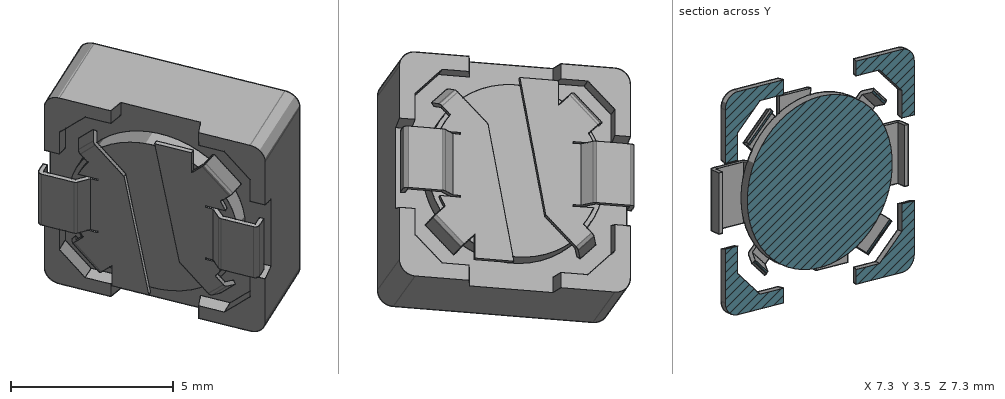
import cadquery as cq
import math


case_side = 7.3
case_depth = 2.9
corner_radius = 0.5
wall = 0.5
pocket_depth = 0.5
pocket_half = case_side / 2 - wall
pocket_chamfer = 0.855
notch_mouth_half = 1.45
notch_floor_half = 1.315

core_radius = 2.8
core_top = 3.0

sheet = 0.145
plate_top = core_top + sheet
overall_depth = 3.5

arm_end_z = 3.0
arm_inner_x = 0.095
arm_outer_x = 1.32
heel_x = 0.91
plate_radius = 2.65

tab_bend_radius = 2.99
tab_tip_radius = 3.32
tab_bend_angle = math.radians(60)
wide_tab_half = 0.635
narrow_tab_half = 0.35
wide_tab_direction = 45
narrow_tab_direction = -45

lead_half = 1.0
slit_width = 0.05
slit_root_x = 1.78
lead_bend_x = 2.02
lead_bend_angle = math.radians(45)
lead_tip_x = case_side / 2


def front_plane(depth):
    """Plane facing -Y at a depth, with local x along X and local y along Z."""
    return cq.Workplane("XZ", origin=(0, -depth, 0))


def radial_plane(direction):
    """Plane through the Y axis: local x points outward at an angle in degrees, local y is depth."""
    c = math.cos(math.radians(direction))
    s = math.sin(math.radians(direction))
    return cq.Workplane(cq.Plane(origin=(0, 0, 0), xDir=(c, 0, s), normal=(s, 0, -c)))


def around(centre, radius, angle):
    """Point at a radius and angle from a centre."""
    return (centre[0] + radius * math.cos(angle), centre[1] + radius * math.sin(angle))


def make_case():
    floor_depth = case_depth - pocket_depth
    body = front_plane(0).rect(case_side, case_side).extrude(case_depth)
    body = body.edges("|Y").fillet(corner_radius)

    pocket = front_plane(floor_depth).rect(2 * pocket_half, 2 * pocket_half).extrude(pocket_depth)
    pocket = pocket.edges("|Y").chamfer(pocket_chamfer)
    body = body.cut(pocket)

    for direction in (0, 90):
        notch = (
            cq.Workplane("XY")
            .polyline([
                (-notch_floor_half, -floor_depth),
                (notch_floor_half, -floor_depth),
                (notch_mouth_half, -case_depth),
                (-notch_mouth_half, -case_depth),
            ])
            .close()
            .extrude(case_side / 2, both=True)
            .rotate((0, 0, 0), (0, 1, 0), direction)
        )
        body = body.cut(notch)

    core = front_plane(floor_depth).circle(core_radius).extrude(core_top - floor_depth)
    return body.union(core)


def diagonal_point(along, across, direction):
    """X-Z point at a distance along a diagonal and a distance across it, to its left."""
    a = math.radians(direction)
    return (
        along * math.cos(a) - across * math.sin(a),
        along * math.sin(a) + across * math.cos(a),
    )


def make_plate():
    slit_z = lead_half + slit_width
    slit_angle = math.asin(slit_z / plate_radius)
    slit_mouth_x = plate_radius * math.cos(slit_angle)

    wide_along = math.sqrt(plate_radius**2 - wide_tab_half**2)
    upper_rim_angle = math.radians(wide_tab_direction) - math.asin(wide_tab_half / plate_radius)
    upper_rim_mid = around((0, 0), plate_radius, (upper_rim_angle + slit_angle) / 2)

    narrow_along = math.sqrt(plate_radius**2 - narrow_tab_half**2)
    lower_rim_angle = math.radians(narrow_tab_direction) + math.asin(narrow_tab_half / plate_radius)
    lower_rim_mid = around((0, 0), plate_radius, (lower_rim_angle - slit_angle) / 2)

    arm_root = (arm_outer_x, arm_outer_x + wide_tab_half * math.sqrt(2))
    heel = (heel_x, -heel_x - narrow_tab_half * math.sqrt(2))

    return (
        front_plane(core_top)
        .moveTo(arm_inner_x, arm_end_z)
        .lineTo(arm_outer_x, arm_end_z)
        .lineTo(*arm_root)
        .lineTo(*diagonal_point(tab_bend_radius, wide_tab_half, wide_tab_direction))
        .lineTo(*diagonal_point(tab_bend_radius, -wide_tab_half, wide_tab_direction))
        .lineTo(*diagonal_point(wide_along, -wide_tab_half, wide_tab_direction))
        .threePointArc(upper_rim_mid, (slit_mouth_x, slit_z))
        .lineTo(slit_root_x, slit_z)
        .lineTo(slit_root_x, lead_half)
        .lineTo(lead_bend_x, lead_half)
        .lineTo(lead_bend_x, -lead_half)
        .lineTo(slit_root_x, -lead_half)
        .lineTo(slit_root_x, -slit_z)
        .lineTo(slit_mouth_x, -slit_z)
        .threePointArc(lower_rim_mid, diagonal_point(narrow_along, narrow_tab_half, narrow_tab_direction))
        .lineTo(*diagonal_point(tab_bend_radius, narrow_tab_half, narrow_tab_direction))
        .lineTo(*diagonal_point(tab_bend_radius, -narrow_tab_half, narrow_tab_direction))
        .lineTo(*heel)
        .close()
        .extrude(sheet)
    )


def make_tab(direction, half_width):
    """Tab folded back toward the case about the rear edge of the plate."""
    upright = math.pi / 2
    pivot = (tab_bend_radius, core_top)
    bend_mid = around(pivot, sheet, upright - tab_bend_angle / 2)
    bend_end = around(pivot, sheet, upright - tab_bend_angle)
    length = (tab_tip_radius - bend_end[0]) / math.cos(tab_bend_angle)
    return (
        radial_plane(direction)
        .moveTo(*pivot)
        .lineTo(tab_bend_radius, plate_top)
        .threePointArc(bend_mid, bend_end)
        .lineTo(*around(bend_end, length, -tab_bend_angle))
        .lineTo(*around(pivot, length, -tab_bend_angle))
        .close()
        .extrude(half_width, both=True)
    )


def make_lead():
    """Lead that slopes forward off the plate, runs outward as a foot and turns back at its tip."""
    upright = math.pi / 2
    foot_rear = overall_depth - sheet
    root = (lead_bend_x, plate_top)
    rise = foot_rear + sheet * math.cos(lead_bend_angle) - plate_top
    slope_end = (lead_bend_x + rise / math.tan(lead_bend_angle), plate_top + rise)
    foot_pivot = (slope_end[0] + sheet * math.sin(lead_bend_angle), foot_rear)
    tip_pivot = (lead_tip_x - sheet, foot_rear)
    return (
        radial_plane(0)
        .moveTo(*root)
        .lineTo(*slope_end)
        .threePointArc(
            around(foot_pivot, sheet, upright + lead_bend_angle / 2),
            (foot_pivot[0], overall_depth),
        )
        .lineTo(tip_pivot[0], overall_depth)
        .threePointArc(around(tip_pivot, sheet, upright / 2), (lead_tip_x, foot_rear))
        .lineTo(lead_tip_x, core_top)
        .lineTo(tip_pivot[0], core_top)
        .lineTo(*tip_pivot)
        .lineTo(*foot_pivot)
        .lineTo(*around(root, sheet, lead_bend_angle - upright))
        .threePointArc(around(root, sheet, lead_bend_angle / 2 - upright), (lead_bend_x, core_top))
        .close()
        .extrude(lead_half, both=True)
    )


def make_terminal(turn):
    """One terminal, turned about the Y axis by an angle in degrees."""
    terminal = (
        make_plate()
        .union(make_tab(wide_tab_direction, wide_tab_half))
        .union(make_tab(narrow_tab_direction, narrow_tab_half))
        .union(make_lead())
    )
    return terminal.rotate((0, 0, 0), (0, 1, 0), turn)


case = make_case()
terminals = [make_terminal(turn) for turn in (0, 180)]

result = cq.Compound.makeCompound([case.val(), *[terminal.val() for terminal in terminals]])